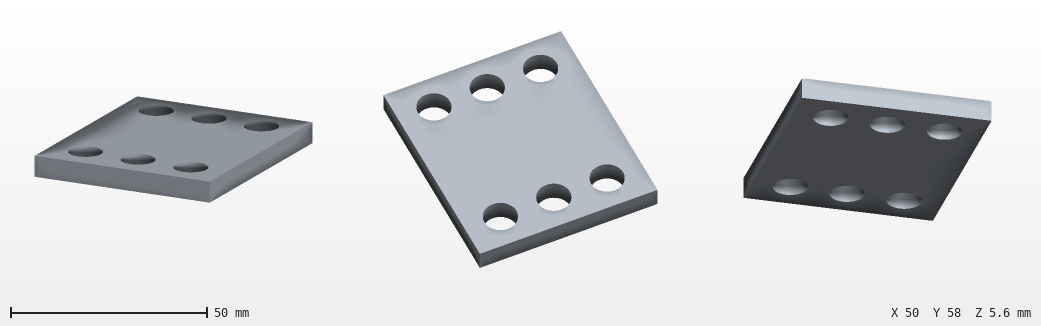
import cadquery as cq

plate_width = 50.0
plate_length = 58.0
plate_thickness = 5.6

hole_diameter = 9.0
holes_per_row = 3
row_count = 2
hole_pitch = 15.0
row_spacing = 40.0

plate = cq.Workplane("XY").box(plate_width, plate_length, plate_thickness)

result = (
    plate.faces(">Z")
    .workplane()
    .rarray(hole_pitch, row_spacing, holes_per_row, row_count)
    .hole(hole_diameter)
)